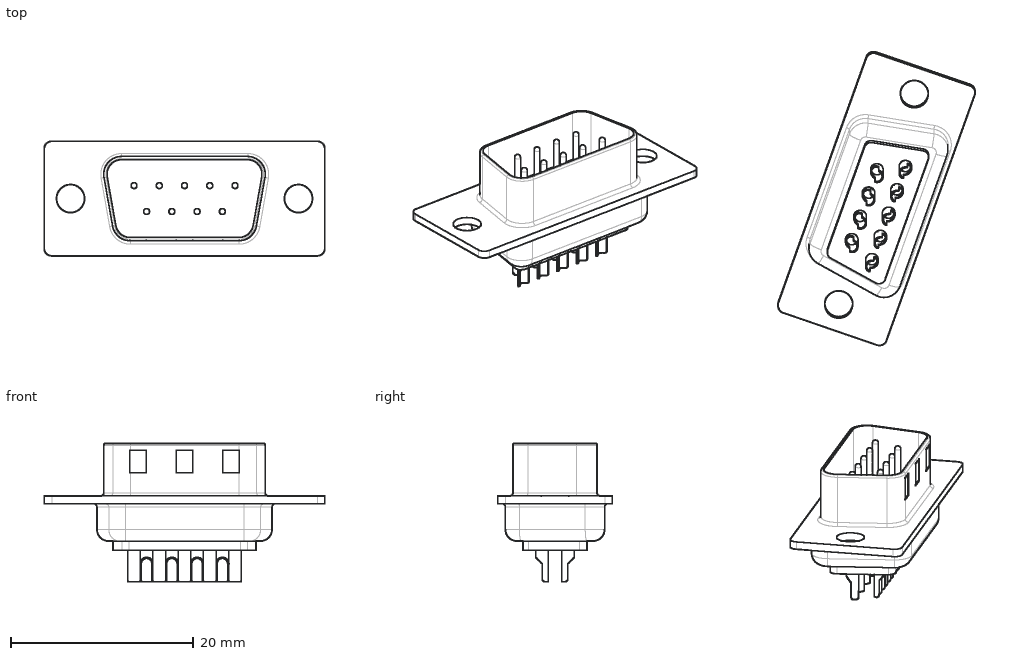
import cadquery as cq
import math


flange_length = 30.81
flange_width = 12.6
flange_thickness = 0.86
flange_corner_radius = 0.85
mounting_hole_diameter = 3.05
mounting_hole_pitch = 25.0

end_slope = math.radians(10)

shroud_height = 5.78
shroud_width = 9.25
shroud_half_length = 8.42
shroud_corner_radius = 1.95
shroud_wall = 0.36
rim_radius = 0.2
floor_level = 0.0
bend_radius = 0.35

window_width = 1.8
window_height = 2.5
window_depth = 0.1
window_pitch = 5.08
window_count = 3
window_drop = 0.75

body_height = 4.1
body_width = 10.92
body_half_length = 9.02
body_corner_radius = 1.85
body_edge_radius = 1.3

step_height = 1.02
step_width = 7.06
step_half_length = 7.38
step_corner_radius = 0.75

contact_pitch = 2.77
row_spacing = 2.84
back_row_count = 5
front_row_count = 4
pin_diameter = 0.65
pin_top = 5.2

cup_length = 3.45
cup_diameter = 1.39
cup_bore_diameter = 1.15
cup_collar_length = 0.75
cup_tip_radius = 0.35

flange_bottom = -flange_thickness
body_bottom = flange_bottom - body_height
step_bottom = body_bottom - step_height
cup_bottom = step_bottom - cup_length


def d_prism(half_length, width, corner_radius, bottom, height):
    """D-shaped prism, longer on its +Y side, with rounded corners."""
    half_width = width / 2
    flare = half_width * math.tan(end_slope)
    outline = [
        (-half_length - flare, half_width),
        (half_length + flare, half_width),
        (half_length - flare, -half_width),
        (-half_length + flare, -half_width),
    ]
    prism = cq.Workplane("XY").workplane(offset=bottom).polyline(outline).close().extrude(height)
    return prism.edges("|Z").fillet(corner_radius)


def make_flange():
    flange = cq.Workplane("XY").workplane(offset=flange_bottom)
    flange = flange.rect(flange_length, flange_width).extrude(flange_thickness)
    return flange.edges("|Z").fillet(flange_corner_radius)


def make_shroud():
    return d_prism(shroud_half_length, shroud_width, shroud_corner_radius, 0, shroud_height)


def make_shroud_cavity():
    end_inset = shroud_wall / math.cos(end_slope)
    return d_prism(
        shroud_half_length - end_inset,
        shroud_width - 2 * shroud_wall,
        shroud_corner_radius - shroud_wall,
        floor_level,
        shroud_height - floor_level,
    )


def make_body():
    body = d_prism(body_half_length, body_width, body_corner_radius, body_bottom, body_height)
    return body.faces("<Z").edges().fillet(body_edge_radius)


def make_step():
    return d_prism(step_half_length, step_width, step_corner_radius, step_bottom, step_height)


def fillet_flange_joint(shell, half_length, width, level):
    """Fillet the D-shaped edge loop where a prism meets the flange at the given level."""
    margin = bend_radius / 2
    reach = half_length + width / 2 * math.tan(end_slope) + margin
    low = (-reach, -width / 2 - margin, level - margin)
    high = (reach, width / 2 + margin, level + margin)
    return shell.edges(cq.selectors.BoxSelector(low, high)).fillet(bend_radius)


def make_shell():
    shell = make_flange().union(make_shroud()).union(make_body())
    shell = fillet_flange_joint(shell, shroud_half_length, shroud_width, 0)
    shell = fillet_flange_joint(shell, body_half_length, body_width, flange_bottom)
    shell = shell.faces(">Z").edges().fillet(rim_radius)
    return shell.cut(make_shroud_cavity())


def make_mounting_holes():
    holes = cq.Workplane("XY").workplane(offset=flange_bottom)
    holes = holes.pushPoints([(-mounting_hole_pitch / 2, 0), (mounting_hole_pitch / 2, 0)])
    return holes.circle(mounting_hole_diameter / 2).extrude(flange_thickness)


def make_windows():
    window_centre = shroud_height - window_drop - window_height / 2
    windows = cq.Workplane("XZ", origin=(0, -shroud_width / 2, window_centre))
    windows = windows.rarray(window_pitch, 1, window_count, 1).rect(window_width, window_height)
    return windows.extrude(-window_depth)


def make_pin():
    """Round contact pin with a hemispherical tip, rooted at the underside of the flange."""
    radius = pin_diameter / 2
    tip_centre = pin_top - radius
    pin = cq.Workplane("XY").workplane(offset=flange_bottom)
    pin = pin.circle(radius).extrude(tip_centre - flange_bottom)
    tip = cq.Workplane("XY").sphere(radius)
    return pin.union(tip.translate((0, 0, tip_centre)))


def make_cup():
    """Solder cup that opens towards -Y."""
    radius = cup_diameter / 2
    cup = cq.Workplane("XY").workplane(offset=cup_bottom).circle(radius).extrude(cup_length)
    bore = cq.Workplane("XY").workplane(offset=cup_bottom)
    bore = bore.circle(cup_bore_diameter / 2).extrude(cup_length)
    cutaway_top = step_bottom - cup_collar_length
    cutaway = (
        cq.Workplane("YZ")
        .moveTo(-radius, cutaway_top)
        .lineTo(0, cutaway_top - radius)
        .lineTo(0, cup_bottom + cup_tip_radius)
        .radiusArc((cup_tip_radius, cup_bottom), -cup_tip_radius)
        .lineTo(-radius, cup_bottom)
        .close()
        .extrude(radius, both=True)
    )
    return cup.cut(bore).cut(cutaway)


def add_contact_row(part, count, row_y, cup_turn):
    pin = make_pin()
    cup = make_cup().rotate((0, 0, 0), (0, 0, 1), cup_turn)
    for index in range(count):
        place = ((index - (count - 1) / 2) * contact_pitch, row_y, 0)
        part = part.union(pin.translate(place)).union(cup.translate(place))
    return part


result = make_shell().union(make_step())
result = result.cut(make_mounting_holes()).cut(make_windows())
result = add_contact_row(result, back_row_count, row_spacing / 2, 180)
result = add_contact_row(result, front_row_count, -row_spacing / 2, 0)